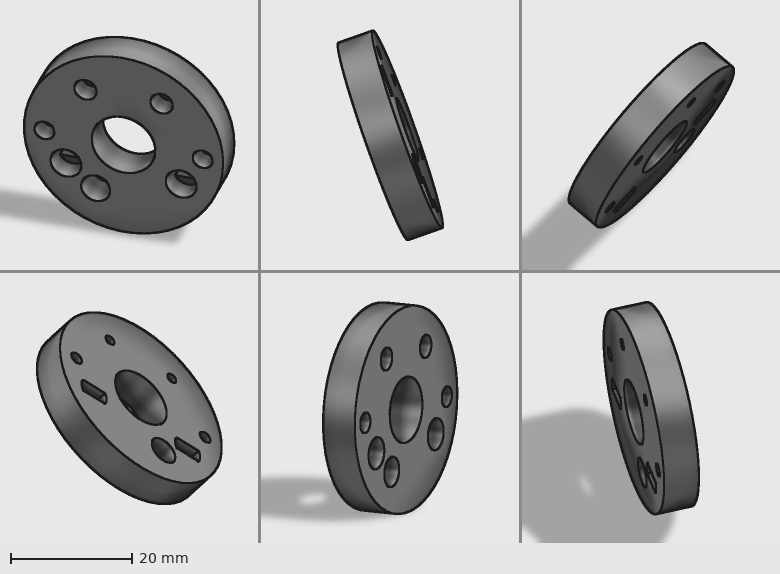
import cadquery as cq

disc_diameter = 34.55
thickness = 6.0
bore_diameter = 11.0
front_y = -thickness / 2

upper_x = 6.6
upper_z = 9.57
upper_diameter = 1.83
upper_counterbore = 3.85
side_x = 13.72
side_diameter = 2.2
side_counterbore = 3.42
counterbore_depth = thickness * 2 / 3

pocket_x = 10.0
pocket_z = -5.7
pocket_diameter = 5.32
pocket_depth = thickness * 2 / 3
opening_height = 2.6

plain_x = -4.85
plain_z = -9.65
plain_diameter = 5.0


def cylinder(x, z, diameter, depth):
    """Cylinder running from the front face toward +Y."""
    return cq.Workplane("XZ", origin=(x, front_y, z)).circle(diameter / 2).extrude(-depth)


def counterbored_hole(x, z, diameter, counterbore):
    through = cylinder(x, z, diameter, thickness)
    return through.union(cylinder(x, z, counterbore, counterbore_depth))


def slotted_pocket(x, z):
    """Round pocket whose floor is open between two horizontal flats."""
    flats = cq.Workplane("XY").box(pocket_diameter, thickness, opening_height).translate((x, 0, z))
    opening = cylinder(x, z, pocket_diameter, thickness).intersect(flats)
    return cylinder(x, z, pocket_diameter, pocket_depth).union(opening)


result = cylinder(0, 0, disc_diameter, thickness)
result = result.cut(cylinder(0, 0, bore_diameter, thickness))
result = result.cut(cylinder(plain_x, plain_z, plain_diameter, thickness))

for side in (-1, 1):
    result = result.cut(counterbored_hole(side * upper_x, upper_z, upper_diameter, upper_counterbore))
    result = result.cut(counterbored_hole(side * side_x, 0, side_diameter, side_counterbore))
    result = result.cut(slotted_pocket(side * pocket_x, pocket_z))